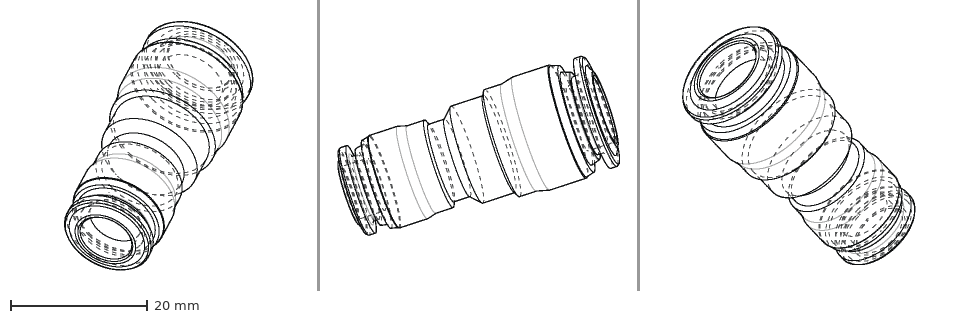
import cadquery as cq

overall_length = 39.9
small_end_y = -overall_length / 2
large_end_y = overall_length / 2

collar_lip_depth = 0.65
collar_lip_width = 1.17
flange_thickness = 1.31
flange_chamfer_length = 0.33
flange_chamfer_width = 0.25
collar_root_fillet = 0.48
bore_chamfer = 0.25
bore_depth = 4.3

small_bore_radius = 4.05
small_lip_radius = 4.75
small_flange_radius = 6.77
small_neck_radius = 5.0
small_seal_depth = 3.08
small_seal_front_radius = 5.97
small_seal_back_radius = 6.18
small_cap_depth = 4.36
small_cap_length = 1.22
small_cap_front_radius = 6.8
small_cap_back_radius = 7.06

large_bore_radius = 5.0
large_lip_radius = 5.78
large_flange_radius = 8.51
large_neck_radius = 6.0
large_seal_depth = 3.12
large_seal_front_radius = 6.8
large_seal_back_radius = 7.18
large_cap_depth = 4.48
large_cap_length = 1.35
large_cap_front_radius = 8.25
large_cap_back_radius = 8.58

edge_bevel = 0.12
seal_bevel_width = 0.06
small_barrel_radius = 7.15
small_barrel_length = 4.36
small_taper_length = 1.4
small_sleeve_radius = 6.77
small_sleeve_length = 2.7
small_shoulder_length = 0.36
waist_radius = 6.0
waist_length = 2.49
middle_radius = 7.5
middle_cone_length = middle_radius - waist_radius
middle_length = 5.02
large_shoulder_length = 0.45
large_sleeve_radius = 8.28
large_sleeve_length = 2.65
large_taper_length = 1.9
large_barrel_radius = 8.75


def collar(end_y, inward, lip_radius, flange_radius, neck_radius, seal_depth):
    """Solid release collar; inward is +1 or -1, the Y direction into the fitting."""

    def point(radius, depth):
        return (radius, end_y + inward * depth)

    lip_base_radius = lip_radius + collar_lip_width
    flange_back = collar_lip_depth + flange_thickness
    fillet_middle = collar_root_fillet * (1 - 0.5 ** 0.5)
    return (
        cq.Workplane("XY")
        .moveTo(*point(0, 0))
        .lineTo(*point(lip_radius, 0))
        .lineTo(*point(lip_base_radius, collar_lip_depth))
        .lineTo(*point(flange_radius - flange_chamfer_width, collar_lip_depth))
        .lineTo(*point(flange_radius, collar_lip_depth + flange_chamfer_length))
        .lineTo(*point(flange_radius, flange_back))
        .lineTo(*point(neck_radius + collar_root_fillet, flange_back))
        .threePointArc(
            point(neck_radius + fillet_middle, flange_back + fillet_middle),
            point(neck_radius, flange_back + collar_root_fillet),
        )
        .lineTo(*point(neck_radius, seal_depth))
        .lineTo(*point(0, seal_depth))
        .close()
        .revolve(360, (0, 0, 0), (0, 1, 0))
    )


def body():
    """Solid stepped body from the small seal ring to the large seal ring."""
    small_seal_y = small_end_y + small_seal_depth
    small_cap_y = small_end_y + small_cap_depth
    small_barrel_y = small_cap_y + small_cap_length
    small_taper_y = small_barrel_y + small_barrel_length
    small_sleeve_y = small_taper_y + small_taper_length
    small_shoulder_y = small_sleeve_y + small_sleeve_length
    waist_y = small_shoulder_y + small_shoulder_length
    middle_cone_y = waist_y + waist_length
    middle_y = middle_cone_y + middle_cone_length
    large_shoulder_y = middle_y + middle_length
    large_sleeve_y = large_shoulder_y + large_shoulder_length
    large_taper_y = large_sleeve_y + large_sleeve_length
    large_barrel_y = large_taper_y + large_taper_length
    large_seal_y = large_end_y - large_seal_depth
    large_cap_y = large_end_y - large_cap_depth
    large_barrel_end_y = large_cap_y - large_cap_length

    outline = [
        (0, small_seal_y),
        (small_seal_front_radius - seal_bevel_width, small_seal_y),
        (small_seal_front_radius, small_seal_y + edge_bevel),
        (small_seal_back_radius, small_cap_y),
        (small_cap_front_radius, small_cap_y),
        (small_cap_back_radius, small_barrel_y - edge_bevel),
        (small_barrel_radius, small_barrel_y),
        (small_barrel_radius, small_taper_y),
        (small_sleeve_radius, small_sleeve_y),
        (small_sleeve_radius, small_shoulder_y),
        (waist_radius, waist_y),
        (waist_radius, middle_cone_y),
        (middle_radius, middle_y),
        (middle_radius, large_shoulder_y),
        (large_sleeve_radius, large_sleeve_y),
        (large_sleeve_radius, large_taper_y),
        (large_barrel_radius, large_barrel_y),
        (large_barrel_radius, large_barrel_end_y),
        (large_cap_back_radius, large_barrel_end_y + edge_bevel),
        (large_cap_front_radius, large_cap_y),
        (large_seal_back_radius, large_cap_y),
        (large_seal_front_radius, large_seal_y - edge_bevel),
        (large_seal_front_radius - seal_bevel_width, large_seal_y),
        (0, large_seal_y),
    ]
    return cq.Workplane("XY").polyline(outline).close().revolve(360, (0, 0, 0), (0, 1, 0))


def tube_bore(end_y, inward, radius):
    """Blind flat-bottomed tube socket with a chamfered mouth, to be cut away."""
    outline = [
        (0, end_y),
        (radius + bore_chamfer, end_y),
        (radius, end_y + inward * bore_chamfer),
        (radius, end_y + inward * bore_depth),
        (0, end_y + inward * bore_depth),
    ]
    return cq.Workplane("XY").polyline(outline).close().revolve(360, (0, 0, 0), (0, 1, 0))


small_collar = collar(
    small_end_y, 1, small_lip_radius, small_flange_radius, small_neck_radius, small_seal_depth
)
large_collar = collar(
    large_end_y, -1, large_lip_radius, large_flange_radius, large_neck_radius, large_seal_depth
)
solid_fitting = body().union(small_collar).union(large_collar)

small_bore = tube_bore(small_end_y, 1, small_bore_radius)
large_bore = tube_bore(large_end_y, -1, large_bore_radius)
result = solid_fitting.cut(small_bore).cut(large_bore)